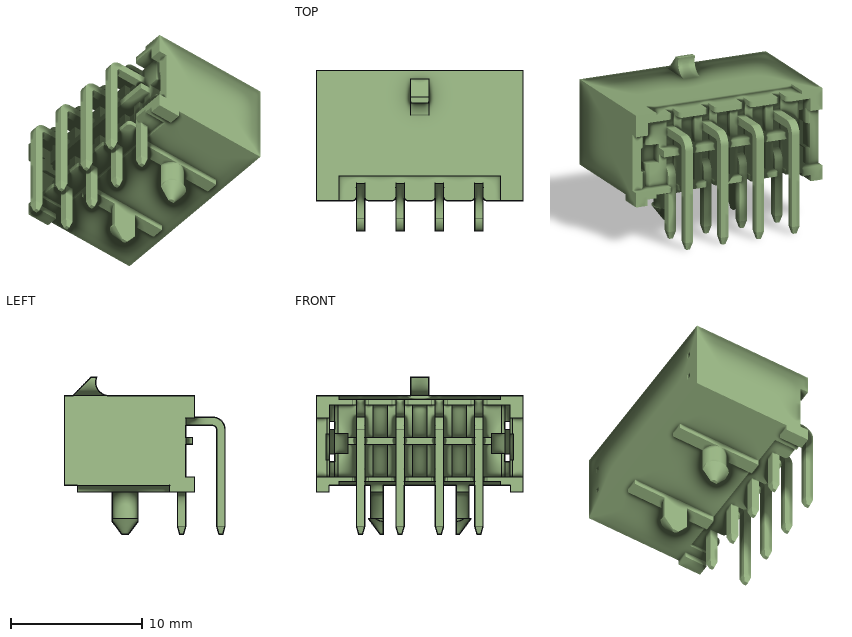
import cadquery as cq
import math


COS_45 = math.sqrt(0.5)

width = 15.71
depth = 9.91
height = 6.83
half_width = width / 2

pitch = 3.0
pin_count = 4
pin_size = 0.65
pin_inner_bend = 0.31
pin_outer_bend = pin_inner_bend + pin_size
pin_tip_size = 0.3
pin_tip_length = 0.61
pin_bottom_z = -3.72
pin_end_y = -7.98
upper_row_z = 4.89
lower_row_z = upper_row_z - pitch
upper_leg_y = -12.22
lower_leg_y = -9.24
pin_xs = [(i - (pin_count - 1) / 2) * pitch for i in range(pin_count)]

opening_half = 6.87
opening_bottom = 0.65
opening_top = 6.13
side_wall_top = 5.12
side_wall_y = lower_leg_y
side_wall_chamfer = 0.19

core_y = -8.89
core_half = 6.47
core_chamfer = 0.24
pin_slot_y = lower_leg_y + pin_size
core_recess_width = 1.12
core_recess_depth = 0.5

slit_y = pin_slot_y
bar_y = -7.48
lower_window = (1.82, 2.39)
upper_window = (4.27, 4.85)

pocket_y = -7.98
pocket_inner_x = 5.45
pocket_bottom = 2.44
pocket_top = 3.96
notch_outer_x = 7.15
notch_bottom = 1.93
notch_top = 3.91

rib_half = pocket_inner_x
rib_front_y = -9.75
rib_thickness = 0.53
rib_z = (upper_row_z + lower_row_z) / 2

lip_half = 6.16
lip_depth = 1.9
lip_recess = 0.28
lip_corner = 0.3

latch_width = 1.4
latch_height = 1.4
latch_start_y = -0.65
latch_crest_y = -2.01
latch_foot_y = -3.4
latch_radius = 1.0

standoff = 0.5
foot_width = 0.96
foot_length = 1.9
rail_start_y = -0.99
peg_x = 2.76
peg_y = -4.62
peg_radius = 0.99
barb_radius = 1.15
barb_tip_radius = 0.25
barb_top_z = -2.53


def block(x_span, y_span, z_span):
    """Box between the given limits along each axis."""
    size = [abs(b - a) for a, b in (x_span, y_span, z_span)]
    low = (min(x_span), min(y_span), min(z_span))
    return cq.Workplane("XY").box(*size, centered=False).translate(low)


def both_sides(shape):
    """The shape together with its mirror image across the middle of the housing."""
    return shape.union(shape.mirror("YZ"))


def prism(points, bottom, top):
    """Vertical prism on an outline given in X and Y."""
    return cq.Workplane("XY", origin=(0, 0, bottom)).polyline(points).close().extrude(top - bottom)


def make_pin(x, row_z, leg_y):
    """Square pin bent down through 90 degrees, with a tapered tip."""
    top_z = row_z + pin_size / 2
    bend_y = leg_y + pin_outer_bend
    bend_z = top_z - pin_outer_bend
    leg_back_y = leg_y + pin_size
    shoulder_z = pin_bottom_z + pin_tip_length
    outer_mid = (bend_y - pin_outer_bend * COS_45, bend_z + pin_outer_bend * COS_45)
    inner_mid = (bend_y - pin_inner_bend * COS_45, bend_z + pin_inner_bend * COS_45)
    body = (
        cq.Workplane("YZ", origin=(x - pin_size / 2, 0, 0))
        .moveTo(pin_end_y, top_z)
        .lineTo(bend_y, top_z)
        .threePointArc(outer_mid, (leg_y, bend_z))
        .lineTo(leg_y, shoulder_z)
        .lineTo(leg_back_y, shoulder_z)
        .lineTo(leg_back_y, bend_z)
        .threePointArc(inner_mid, (bend_y, top_z - pin_size))
        .lineTo(pin_end_y, top_z - pin_size)
        .close()
        .extrude(pin_size)
    )
    tip = (
        cq.Workplane("XY", origin=(x, leg_y + pin_size / 2, shoulder_z))
        .rect(pin_size, pin_size)
        .workplane(offset=-pin_tip_length)
        .rect(pin_tip_size, pin_tip_size)
        .loft()
    )
    return body.union(tip)


def cut_opening(housing):
    """Open the pin side back to the core, and set the side walls back with chamfered inner edges."""
    z_span = (opening_bottom, opening_top)
    wall_z_span = (opening_bottom, side_wall_top)
    main = block((-opening_half, opening_half), (-depth, core_y), z_span)
    setback = block((-half_width, half_width), (-depth, side_wall_y), wall_z_span)
    wall_chamfer = prism(
        [
            (-opening_half, side_wall_y),
            (-opening_half - side_wall_chamfer, side_wall_y),
            (-opening_half, side_wall_y + side_wall_chamfer),
        ],
        *wall_z_span,
    )
    return housing.cut(main).cut(setback).cut(both_sides(wall_chamfer))


def cut_slits(housing):
    """Slits between core and side walls, the core's chamfered ends and the windows."""
    slit_x = (-opening_half, -core_half)
    slit = block(slit_x, (core_y, slit_y), (opening_bottom, opening_top))
    middle = block(slit_x, (slit_y, bar_y), (lower_window[0], upper_window[1]))
    chamfer = prism(
        [
            (-core_half, core_y),
            (-core_half + core_chamfer, core_y),
            (-core_half, core_y + core_chamfer),
        ],
        opening_bottom,
        opening_top,
    )
    housing = housing.cut(both_sides(slit)).cut(both_sides(middle)).cut(both_sides(chamfer))
    for span in (lower_window, upper_window):
        window = block(slit_x, (bar_y, 0), span)
        housing = housing.cut(both_sides(window))
    return housing


def cut_end_pockets(housing):
    """Pockets in the core ends, and the notches facing them in the side walls."""
    pocket = block((-core_half, -pocket_inner_x), (core_y, pocket_y), (pocket_bottom, pocket_top))
    notch = block((-notch_outer_x, -opening_half), (side_wall_y, pocket_y), (notch_bottom, notch_top))
    return housing.cut(both_sides(pocket)).cut(both_sides(notch))


def cut_lips(housing):
    """Thin the lips above and below the opening from the outside."""
    for z_span in ((0, lip_recess), (height - lip_recess, height)):
        housing = housing.cut(block((-lip_half, lip_half), (-depth, lip_depth - depth), z_span))
    return housing


def slot_cutter(x):
    """Pin-wide vertical slot whose mouth flares out with a round on each side."""
    half = pin_size / 2
    mouth_half = half + lip_corner
    round_end_y = lip_corner - depth
    inset = lip_corner * (1 - COS_45)
    return (
        cq.Workplane("XY", origin=(x, 0, 0))
        .moveTo(-mouth_half, -depth)
        .threePointArc((-half - inset, inset - depth), (-half, round_end_y))
        .lineTo(-half, pin_slot_y)
        .lineTo(half, pin_slot_y)
        .lineTo(half, round_end_y)
        .threePointArc((half + inset, inset - depth), (mouth_half, -depth))
        .close()
        .extrude(height)
    )


def cut_core_recesses(housing):
    """Shallow full-height recesses in the core midway between neighbouring pins."""
    for x in pin_xs[:-1]:
        middle = x + pitch / 2
        recess = block(
            (middle - core_recess_width / 2, middle + core_recess_width / 2),
            (core_y, core_y + core_recess_depth),
            (opening_bottom, opening_top),
        )
        housing = housing.cut(recess)
    return housing


def make_rib():
    """Rib that fills the slots and recesses at mid height and stands out from the core."""
    return block(
        (-rib_half, rib_half),
        (rib_front_y, core_y + core_recess_depth),
        (rib_z - rib_thickness / 2, rib_z + rib_thickness / 2),
    )


def make_latch():
    """Ramp on the roof with a hollow back that runs out tangent to the roof."""
    centre_z = height + latch_radius
    crest_z = height + latch_height
    crest_end_y = latch_foot_y + math.sqrt(latch_radius**2 - (crest_z - centre_z) ** 2)
    hollow_mid = (latch_foot_y + latch_radius * COS_45, centre_z - latch_radius * COS_45)
    return (
        cq.Workplane("YZ", origin=(-latch_width / 2, 0, 0))
        .moveTo(latch_start_y, height)
        .lineTo(latch_crest_y, crest_z)
        .lineTo(crest_end_y, crest_z)
        .threePointArc(hollow_mid, (latch_foot_y, height))
        .close()
        .extrude(latch_width)
    )


def make_foot():
    """Left foot at the pin-side corner."""
    x_span = (-half_width, foot_width - half_width)
    return block(x_span, (-depth, foot_length - depth), (-standoff, 0))


def make_rail():
    """Left rail, which the peg stands on."""
    return block((-peg_x - peg_radius, -peg_x), (foot_length - depth, rail_start_y), (-standoff, 0))


def make_peg():
    """Left half-round peg ending in a conical barb, with flats to the peg's own width."""
    shaft = cq.Workplane("XY", origin=(-peg_x, peg_y, 0)).circle(peg_radius).extrude(barb_top_z)
    barb = (
        cq.Workplane("XY", origin=(-peg_x, peg_y, barb_top_z))
        .circle(barb_radius)
        .workplane(offset=pin_bottom_z - barb_top_z)
        .circle(barb_tip_radius)
        .loft()
    )
    envelope = block(
        (-peg_x - barb_radius, -peg_x),
        (peg_y - peg_radius, peg_y + peg_radius),
        (pin_bottom_z, -standoff),
    )
    return shaft.union(barb).intersect(envelope)


def make_housing():
    """Housing without the holes that the pins fill."""
    housing = block((-half_width, half_width), (-depth, 0), (0, height))
    housing = cut_opening(housing)
    housing = cut_slits(housing)
    housing = cut_end_pockets(housing)
    housing = cut_lips(housing)
    housing = cut_core_recesses(housing)
    for x in pin_xs:
        housing = housing.cut(slot_cutter(x))
    housing = housing.union(make_rib()).union(make_latch())
    for feature in (make_foot(), make_rail(), make_peg()):
        housing = housing.union(both_sides(feature))
    return housing


pins = []
for x in pin_xs:
    pins.append(make_pin(x, upper_row_z, upper_leg_y))
    pins.append(make_pin(x, lower_row_z, lower_leg_y))

housing = make_housing()
for pin in pins:
    housing = housing.cut(pin)

result = cq.Compound.makeCompound([housing.val(), *[pin.val() for pin in pins]])